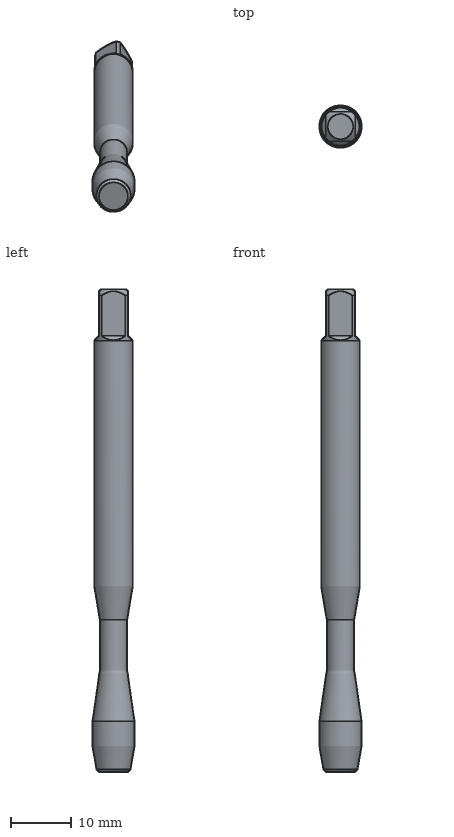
import cadquery as cq

total_length = 80.2
tip_chamfer_top = 0.45
lead_top = 4.3
thread_top = 8.4
head_taper_top = 16.4
neck_bottom = 16.9
neck_top = 25.25
shank_taper_bottom = 25.45
shank_bottom = 30.9
shoulder_height = 71.63

tip_diameter = 4.8
lead_diameter = 5.7
thread_diameter = 7.05
head_taper_diameter = 4.75
shank_taper_diameter = 4.65
neck_diameter = 4.51
shank_diameter = 6.48
end_face_diameter = 4.2

flat_count = 4
square_width = 4.88
square_corner_diameter = 6.25

end_chamfer = (square_corner_diameter - end_face_diameter) / 2
ramp_rise = (shank_diameter - square_width) / 2
square_bottom = shoulder_height + ramp_rise


def turned(stations):
    """Revolve a solid about Z from (diameter, height) stations listed upwards."""
    bottom = stations[0][1]
    top = stations[-1][1]
    outline = [(diameter / 2, height) for diameter, height in stations]
    profile = cq.Workplane("XZ").polyline([(0, bottom), *outline, (0, top)]).close()
    return profile.revolve(360, (0, 0, 0), (0, 1, 0))


def make_thread_head():
    """Head of the tool: chamfered tip, conical lead and full-diameter thread envelope."""
    return turned([
        (tip_diameter, 0),
        (lead_diameter, tip_chamfer_top),
        (thread_diameter, lead_top),
        (thread_diameter, thread_top),
    ])


def make_flat_cutter():
    """Material removed by one flat on the +X side, with the ramp at its lower end."""
    flat = square_width / 2
    ramp_outside = shank_diameter
    ramp_bottom = square_bottom - (ramp_outside - flat)
    outline = [
        (flat, square_bottom),
        (ramp_outside, ramp_bottom),
        (ramp_outside, total_length),
        (flat, total_length),
    ]
    return cq.Workplane("XZ").polyline(outline).close().extrude(shank_diameter, both=True)


def make_shank():
    """Head taper, neck and shank, ending in a square drive."""
    shank = turned([
        (thread_diameter, thread_top),
        (head_taper_diameter, head_taper_top),
        (neck_diameter, neck_bottom),
        (neck_diameter, neck_top),
        (shank_taper_diameter, shank_taper_bottom),
        (shank_diameter, shank_bottom),
        (shank_diameter, shoulder_height),
        (square_corner_diameter, shoulder_height),
        (square_corner_diameter, total_length - end_chamfer),
        (end_face_diameter, total_length),
    ])
    cutter = make_flat_cutter()
    for side in range(flat_count):
        shank = shank.cut(cutter.rotate((0, 0, 0), (0, 0, 1), side * 360 / flat_count))
    return shank


thread_head = make_thread_head()
shank = make_shank()

result = cq.Compound.makeCompound([thread_head.val(), shank.val()])